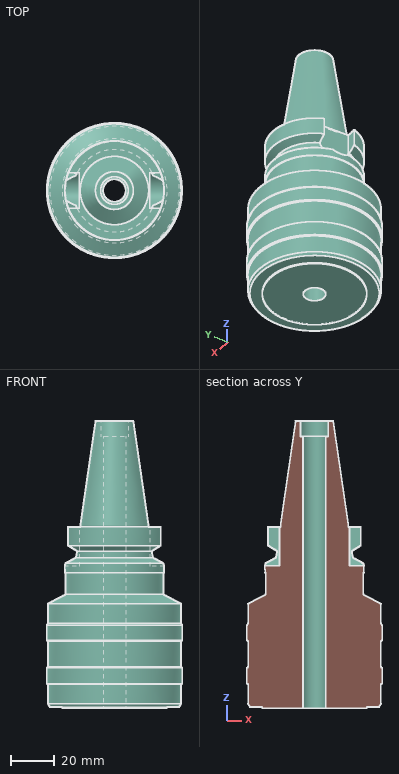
import cadquery as cq

total_height = 133.4
flange_top = 84.2
flange_bottom = 75.5
groove_top = 73.0
groove_bottom = 69.9
band_top = 67.4
band_bottom = 63.0
shoulder_top = 52.8
shoulder_bottom = 48.5
body_chamfer_top = 2.0
rim_height = 0.5
taper_collar_height = 0.8

taper_top_radius = 8.8
taper_base_radius = 15.9
flange_radius = 23.1
groove_radius = 19.2
neck_radius = 22.8
body_radius = 31.0
chamfer_radius = 30.0
rim_radius = 24.3

ring_radius = 31.5
ring_bevel_height = 0.4
upper_ring_lead_height = 0.8
ring_spans = [
    (11.1, 19.2, ring_bevel_height),
    (31.1, 39.4, upper_ring_lead_height),
]

bore_radius = 5.2
counterbore_radius = 6.4
counterbore_depth = 7.2

slot_width = 16.4
slot_floor_x = 16.3
slot_overrun = 1.3
slot_bottom = 66.2


def make_body():
    """Revolve the holder's outer outline around Z."""
    outline = [
        (0, 0),
        (rim_radius, 0),
        (rim_radius, rim_height),
        (chamfer_radius, rim_height),
        (body_radius, body_chamfer_top),
        (body_radius, shoulder_bottom),
        (neck_radius, shoulder_top),
        (neck_radius, band_bottom),
        (flange_radius, band_bottom),
        (flange_radius, band_top),
        (groove_radius, groove_bottom),
        (groove_radius, groove_top),
        (flange_radius, flange_bottom),
        (flange_radius, flange_top),
        (taper_base_radius, flange_top),
        (taper_base_radius, flange_top + taper_collar_height),
        (taper_top_radius, total_height),
        (0, total_height),
    ]
    return cq.Workplane("XZ").polyline(outline).close().revolve(360, (0, 0), (0, 1))


def make_disc(radius, bottom, top):
    """Solid cylinder on the Z axis."""
    return cq.Workplane("XY").workplane(offset=bottom).circle(radius).extrude(top - bottom)


def make_ring(bottom, top, upper_cone_height):
    """Raised ring with conical edges that run out on the body surface."""
    outline = [
        (0, bottom),
        (body_radius, bottom),
        (ring_radius, bottom + ring_bevel_height),
        (ring_radius, top - upper_cone_height),
        (body_radius, top),
        (0, top),
    ]
    return cq.Workplane("XZ").polyline(outline).close().revolve(360, (0, 0), (0, 1))


def make_slot(side):
    """Cutter for one drive slot, open at the flange top and outward along X."""
    half_width = slot_width / 2
    arc_center = slot_bottom + half_width
    return (
        cq.Workplane("YZ")
        .workplane(offset=side * slot_floor_x)
        .moveTo(-half_width, flange_top)
        .lineTo(-half_width, arc_center)
        .threePointArc((0, slot_bottom), (half_width, arc_center))
        .lineTo(half_width, flange_top)
        .close()
        .extrude(side * (flange_radius - slot_floor_x + slot_overrun))
    )


result = make_body()

for ring_bottom, ring_top, cone_height in ring_spans:
    result = result.union(make_ring(ring_bottom, ring_top, cone_height))

for side in (-1, 1):
    result = result.cut(make_slot(side))

result = result.cut(make_disc(bore_radius, 0, total_height))
result = result.cut(make_disc(counterbore_radius, total_height - counterbore_depth, total_height))